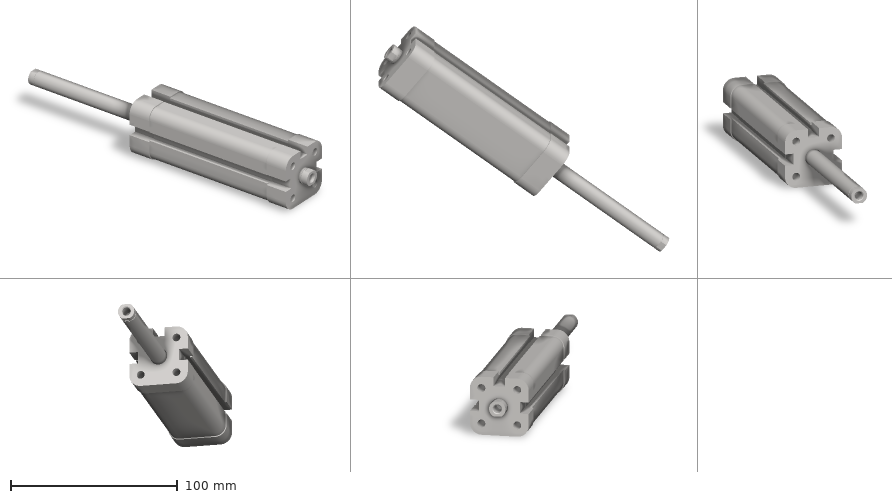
import cadquery as cq
import math


total_length = 209.0
front_reach = 86.0
rear_reach = 6.0
cap_length = 14.5
rear_face = total_length - rear_reach
tube_start = front_reach + cap_length
tube_end = rear_face - cap_length

cap_width = 36.0
cap_corner_radius = 7.1
tube_inset = 0.6
tube_width = cap_width - 2 * tube_inset
tube_corner_radius = cap_corner_radius - tube_inset

slot_width = 7.1
slot_floor = 12.5
tube_slot_floor = 13.0
tube_mouth_width = 5.6
lip_thickness = 1.5
slot_angles = (-90, 0, 90)

bolt_pitch = 22.0
cap_bolt_diameter = 4.8
tube_bolt_diameter = 4.2

rod_diameter = 10.0
groove_depth = 0.2
flat_length = 4.2
groove_width = 0.6
across_flats = 9.0
rod_clearance = 0.2
cap_rod_hole_diameter = rod_diameter + 2 * rod_clearance

bore_diameter = 5.0
bore_depth = 10.0
countersink_diameter = 6.0
drill_point_angle = 118


def square_bar(x_start, x_end, width, corner_radius):
    """Square bar along X with rounded long edges."""
    length = x_end - x_start
    bar = cq.Workplane("YZ", origin=(x_start, 0, 0)).rect(width, width).extrude(length)
    return bar.edges("|X").fillet(corner_radius)


def slot_cutter(x_start, x_end, width, floor, roof, angle):
    """Straight block that cuts a slot from floor to roof, turned about X."""
    block = cq.Workplane("XY").box(x_end - x_start, width, roof - floor, centered=(False, True, False))
    return block.translate((x_start, 0, floor)).rotate((0, 0, 0), (1, 0, 0), angle)


def axial_holes(x_start, x_end, bolt_diameter, rod_hole_diameter):
    """Rod hole and the four bolt holes."""
    length = x_end - x_start
    start_plane = cq.Workplane("YZ", origin=(x_start, 0, 0))
    bolt_centers = start_plane.rect(bolt_pitch, bolt_pitch, forConstruction=True).vertices()
    bolt_holes = bolt_centers.circle(bolt_diameter / 2).extrude(length)
    rod_hole = cq.Workplane("YZ", origin=(x_start, 0, 0)).circle(rod_hole_diameter / 2).extrude(length)
    return rod_hole.union(bolt_holes)


def make_cap(x_start):
    """End cap with three slots, bolt holes and a clearance hole for the rod."""
    x_end = x_start + cap_length
    cap = square_bar(x_start, x_end, cap_width, cap_corner_radius)
    for angle in slot_angles:
        cap = cap.cut(slot_cutter(x_start, x_end, slot_width, slot_floor, cap_width / 2, angle))
    return cap.cut(axial_holes(x_start, x_end, cap_bolt_diameter, cap_rod_hole_diameter))


def make_tube():
    """Middle tube with three lipped slots, bolt holes and the rod hole."""
    surface = tube_width / 2
    tube = square_bar(tube_start, tube_end, tube_width, tube_corner_radius)
    for angle in slot_angles:
        tube = tube.cut(slot_cutter(tube_start, tube_end, tube_mouth_width, tube_slot_floor, surface, angle))
        roof = surface - lip_thickness
        tube = tube.cut(slot_cutter(tube_start, tube_end, slot_width, tube_slot_floor, roof, angle))
    return tube.cut(axial_holes(tube_start, tube_end, tube_bolt_diameter, rod_diameter))


def revolve_about_x(profile):
    """Solid of revolution about X from (x, radius) points."""
    return cq.Workplane("XY").polyline(profile).close().revolve(360, (0, 0, 0), (1, 0, 0))


def end_bore():
    """Blind drilled hole entering at X = 0, countersunk at 45 degrees, with a conical bottom."""
    radius = bore_diameter / 2
    mouth_radius = countersink_diameter / 2
    tip_depth = bore_depth + radius / math.tan(math.radians(drill_point_angle / 2))
    return revolve_about_x([
        (0, 0),
        (0, mouth_radius),
        (mouth_radius - radius, radius),
        (bore_depth, radius),
        (tip_depth, 0),
    ])


def end_groove():
    """Ring removed to form the shallow groove behind the wrench flats at X = 0."""
    groove_radius = rod_diameter / 2 - groove_depth
    ring = cq.Workplane("YZ", origin=(flat_length, 0, 0)).circle(rod_diameter).circle(groove_radius)
    return ring.extrude(groove_width)


def wrench_flats():
    """Material above and below the two wrench flats at X = 0."""
    stock = cq.Workplane("YZ").rect(rod_diameter, rod_diameter).extrude(flat_length)
    kept = cq.Workplane("YZ").rect(rod_diameter, across_flats).extrude(flat_length)
    return stock.cut(kept)


def make_rod():
    """Rod running through all the other bodies, alike at both ends."""
    rod = cq.Workplane("YZ").circle(rod_diameter / 2).extrude(total_length)
    for cutter in (wrench_flats(), end_groove(), end_bore()):
        far_cutter = cutter.mirror("YZ").translate((total_length, 0, 0))
        rod = rod.cut(cutter).cut(far_cutter)
    return rod


caps = [make_cap(x_start) for x_start in (front_reach, tube_end)]
tube = make_tube()
rod = make_rod()
result = cq.Compound.makeCompound([*[cap.val() for cap in caps], tube.val(), rod.val()])